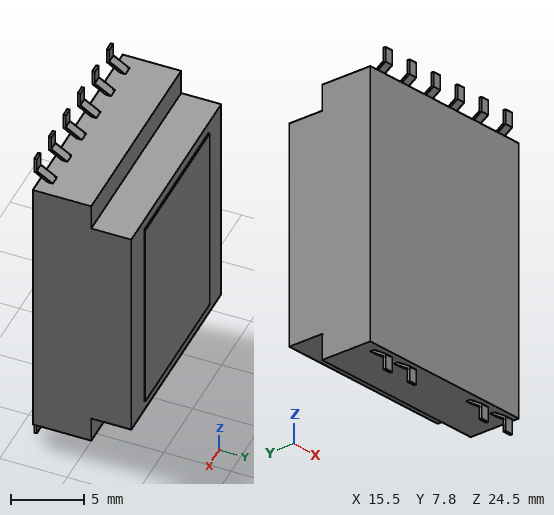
import cadquery as cq
import math

width = 15.5
depth = 7.8
length = 24.52

front_length = 21.0
front_depth = 4.35
end_step = 1.99
back_length = front_length - 2 * end_step

pad_width = 11.1
pad_length = 15.3
pad_thickness = 0.1

lead_width = 0.7
lead_thickness = 0.2
lead_pitch = 2.5
lead_positions = 6
bottom_positions = (0, 1, 4, 5)
foot_length = 1.13
foot_standoff = 0.4
leg_angle = math.radians(32)
embedded_depth = 0.25

pad_back = depth - foot_standoff
body_back = pad_back - pad_thickness


def make_block(x_size, z_size, y_front, y_back):
    """Box centred on X and Z, spanning the given Y range."""
    y_size = y_back - y_front
    return cq.Workplane("XY").box(x_size, y_size, z_size).translate((0, y_front + y_size / 2, 0))


def make_lead(x_center):
    """Top-end lead: upright foot with a sharp bend into a sloping leg that runs into the body."""
    foot_front = -foot_standoff
    foot_back = foot_front + lead_thickness
    foot_tip = length / 2
    leg_bottom = front_length / 2 - embedded_depth

    outer_bend_z = foot_tip - foot_length
    inner_bend_z = outer_bend_z + lead_thickness * math.tan((math.pi / 2 - leg_angle) / 2)
    outer_end_y = foot_front + (outer_bend_z - leg_bottom) / math.tan(leg_angle)
    inner_end_y = foot_back + (inner_bend_z - leg_bottom) / math.tan(leg_angle)

    profile = [
        (foot_front, foot_tip),
        (foot_front, outer_bend_z),
        (outer_end_y, leg_bottom),
        (inner_end_y, leg_bottom),
        (foot_back, inner_bend_z),
        (foot_back, foot_tip),
    ]
    lead_sketch = cq.Workplane("YZ", origin=(x_center, 0, 0)).polyline(profile).close()
    return lead_sketch.extrude(lead_width / 2, both=True)


front_block = make_block(width, front_length, 0, front_depth)
back_block = make_block(width, back_length, front_depth, body_back)
pad = make_block(pad_width, pad_length, body_back, pad_back)
result = front_block.union(back_block).union(pad)

for position in range(lead_positions):
    lead = make_lead((position - (lead_positions - 1) / 2) * lead_pitch)
    result = result.union(lead)
    if position in bottom_positions:
        result = result.union(lead.mirror("XY"))